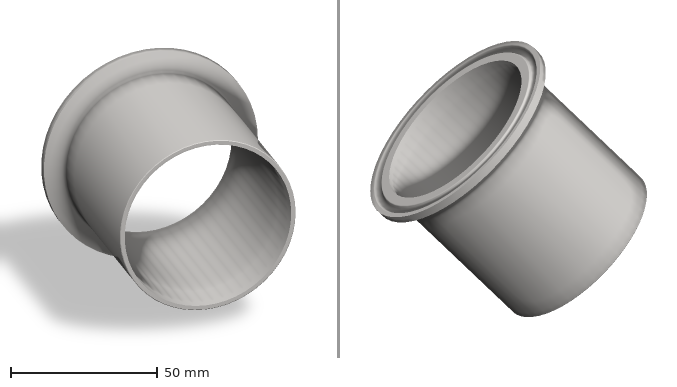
import cadquery as cq
import math

LENGTH = 63.5
TUBE_DIAMETER = 63.5
BORE_DIAMETER = 60.2
END_CHAMFER = 0.2

FLANGE_DIAMETER = 77.4
RIM_WIDTH = 2.9
BACK_ANGLE = 20.0
ROOT_FILLET = 1.15

GROOVE_MEAN_RADIUS = 35.3
GROOVE_DEPTH = 1.6
FLOOR_RADIUS = 1.2
WALL_DRAFT = 25.0
LIP_RADIUS = 0.5


def ferrule_body():
    """Revolve the ferrule wall around the X axis."""
    flange_radius = FLANGE_DIAMETER / 2
    tube_radius = TUBE_DIAMETER / 2
    bore_radius = BORE_DIAMETER / 2
    angle = math.radians(BACK_ANGLE)
    slope = math.tan(angle)

    cone_root_x = RIM_WIDTH + (flange_radius - tube_radius) * slope
    tangent_length = ROOT_FILLET * math.tan((math.pi / 2 - angle) / 2)
    fillet_end_x = cone_root_x + tangent_length
    fillet_start = (
        cone_root_x - tangent_length * math.sin(angle),
        tube_radius + tangent_length * math.cos(angle),
    )

    profile = (
        cq.Workplane("XY")
        .moveTo(0, bore_radius)
        .lineTo(0, flange_radius)
        .lineTo(RIM_WIDTH, flange_radius)
        .lineTo(*fillet_start)
        .tangentArcPoint((fillet_end_x, tube_radius), relative=False)
        .lineTo(LENGTH - END_CHAMFER, tube_radius)
        .lineTo(LENGTH, tube_radius - END_CHAMFER)
        .lineTo(LENGTH, bore_radius)
        .close()
    )
    return profile.revolve(360, (0, 0, 0), (1, 0, 0))


def gasket_groove():
    """Ring that cuts the groove; each wall is tangent to the floor arc and to its lip arc."""
    draft = math.radians(WALL_DRAFT)
    half_sweep = (math.pi / 2 - draft) / 2

    floor_end_x = GROOVE_DEPTH - FLOOR_RADIUS * (1 - math.sin(draft))
    floor_end_offset = FLOOR_RADIUS * math.cos(draft)
    lip_end_x = LIP_RADIUS * (1 - math.sin(draft))
    lip_end_offset = floor_end_offset + (floor_end_x - lip_end_x) * math.tan(draft)
    half_width = lip_end_offset + LIP_RADIUS * math.cos(draft)
    lip_middle_x = LIP_RADIUS * (1 - math.cos(half_sweep))
    lip_middle_offset = half_width - LIP_RADIUS * math.sin(half_sweep)

    def point(x, offset):
        return (x, GROOVE_MEAN_RADIUS + offset)

    profile = (
        cq.Workplane("XY")
        .moveTo(*point(0, -half_width))
        .threePointArc(point(lip_middle_x, -lip_middle_offset), point(lip_end_x, -lip_end_offset))
        .lineTo(*point(floor_end_x, -floor_end_offset))
        .threePointArc(point(GROOVE_DEPTH, 0), point(floor_end_x, floor_end_offset))
        .lineTo(*point(lip_end_x, lip_end_offset))
        .threePointArc(point(lip_middle_x, lip_middle_offset), point(0, half_width))
        .close()
    )
    return profile.revolve(360, (0, 0, 0), (1, 0, 0))


result = ferrule_body().cut(gasket_groove())